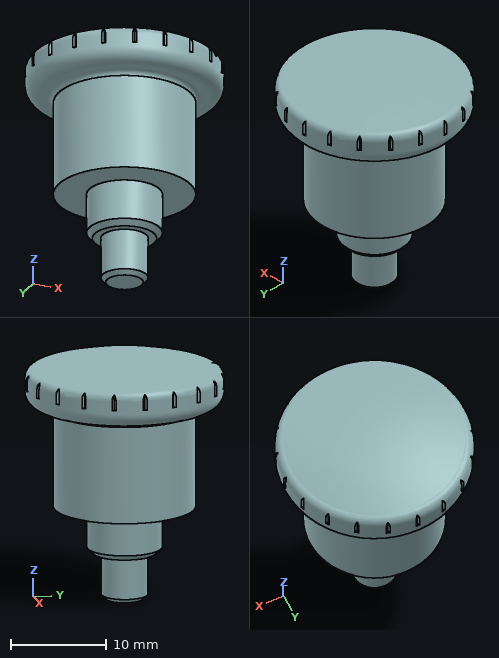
import cadquery as cq
import math

total_height = 26.5

pin_radius = 2.5
pin_length = 5.0
pin_chamfer = 0.5
nose_radius = 4.0
nose_length = 4.98
nose_chamfer = 0.6

sleeve_radius = 7.5
sleeve_length = 10.45

neck_fillet = 0.58
knob_radius = 10.5
rim_lower_fillet = 1.48
rim_upper_fillet = 0.98
dome_height = 1.5

groove_count = 20
groove_depth = 0.2
groove_half_width = 0.2
groove_floor_drop = 1.0

sleeve_bottom_z = pin_length + nose_length
sleeve_top_z = sleeve_bottom_z + sleeve_length
rim_bottom_z = sleeve_top_z + neck_fillet
rim_top_z = total_height - dome_height
rim_edge_z = rim_top_z - rim_upper_fillet
groove_floor_z = rim_edge_z - groove_floor_drop


def make_plunger():
    """Sleeve, nose and pin turned as one stepped solid about Z."""
    profile = (
        cq.Workplane("XZ")
        .moveTo(0, 0)
        .lineTo(pin_radius - pin_chamfer, 0)
        .lineTo(pin_radius, pin_chamfer)
        .lineTo(pin_radius, pin_length)
        .lineTo(nose_radius - nose_chamfer, pin_length)
        .lineTo(nose_radius, pin_length + nose_chamfer)
        .lineTo(nose_radius, sleeve_bottom_z)
        .lineTo(sleeve_radius, sleeve_bottom_z)
        .lineTo(sleeve_radius, sleeve_top_z)
        .lineTo(0, sleeve_top_z)
        .close()
    )
    return profile.revolve(360, (0, 0, 0), (0, 1, 0))


def make_knob_blank():
    """Knob without grooves: flared neck, rounded rim and shallow spherical dome."""
    diagonal = math.sqrt(0.5)
    neck_center = (sleeve_radius + neck_fillet, sleeve_top_z)
    neck_middle = (neck_center[0] - neck_fillet * diagonal, neck_center[1] + neck_fillet * diagonal)

    lower_center = (knob_radius - rim_lower_fillet, rim_bottom_z + rim_lower_fillet)
    lower_middle = (
        lower_center[0] + rim_lower_fillet * diagonal,
        lower_center[1] - rim_lower_fillet * diagonal,
    )

    upper_center = (knob_radius - rim_upper_fillet, rim_edge_z)
    upper_middle = (
        upper_center[0] + rim_upper_fillet * diagonal,
        upper_center[1] + rim_upper_fillet * diagonal,
    )

    dome_edge_radius = upper_center[0]
    sphere_radius = (dome_edge_radius**2 + dome_height**2) / (2 * dome_height)
    middle_radius = dome_edge_radius / 2
    middle_z = total_height - sphere_radius + math.sqrt(sphere_radius**2 - middle_radius**2)

    profile = (
        cq.Workplane("XZ")
        .moveTo(0, sleeve_top_z)
        .lineTo(sleeve_radius, sleeve_top_z)
        .threePointArc(neck_middle, (neck_center[0], rim_bottom_z))
        .lineTo(lower_center[0], rim_bottom_z)
        .threePointArc(lower_middle, (knob_radius, lower_center[1]))
        .lineTo(knob_radius, rim_edge_z)
        .threePointArc(upper_middle, (dome_edge_radius, rim_top_z))
        .threePointArc((middle_radius, middle_z), (0, total_height))
        .close()
    )
    return profile.revolve(360, (0, 0, 0), (0, 1, 0))


def make_groove_cutter(angle):
    """V-shaped vertical prism whose point reaches groove_depth into the rim."""
    tip_radius = knob_radius - groove_depth
    outer_radius = knob_radius + groove_depth
    outer_half_width = 2 * groove_half_width
    return (
        cq.Workplane("XY", origin=(0, 0, groove_floor_z))
        .moveTo(tip_radius, 0)
        .lineTo(outer_radius, -outer_half_width)
        .lineTo(outer_radius, outer_half_width)
        .close()
        .extrude(rim_top_z - groove_floor_z)
        .rotate((0, 0, 0), (0, 0, 1), angle)
    )


def make_knob():
    """Knob with equally spaced grip grooves cut into its rim."""
    knob = make_knob_blank()
    for index in range(groove_count):
        knob = knob.cut(make_groove_cutter(index * 360 / groove_count))
    return knob


plunger = make_plunger()
knob = make_knob()
result = cq.Compound.makeCompound([plunger.val(), knob.solids().val()])